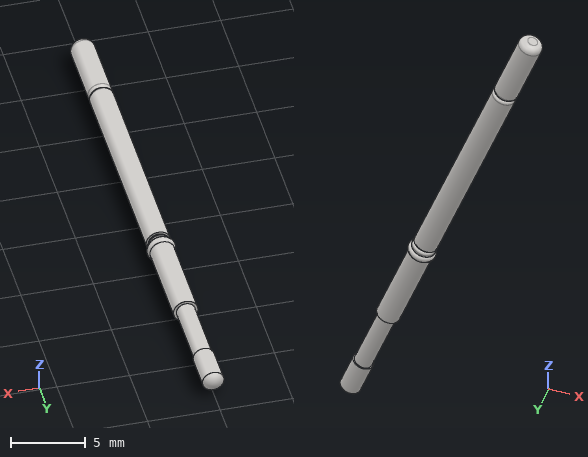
import cadquery as cq
import math

LENGTH = 37.0
TIP_Y = LENGTH / 2
TAIL_Y = -LENGTH / 2

HEAD_RADIUS = 0.75
HEAD_LENGTH = 3.0
DOME_HEIGHT = 0.38
STEM_RADIUS = 0.65
STEM_LENGTH = 5.0

BARREL_RADIUS = 0.85
BARREL_LENGTH = LENGTH - HEAD_LENGTH - STEM_LENGTH
MOUTH_Y = TAIL_Y + BARREL_LENGTH
TAIL_FILLET = 0.5

COLLAR_RADIUS = 1.0
COLLAR_WIDTH = 0.55
COLLAR_TOP_Y = MOUTH_Y - 6.5

ROLL_WIDTH = 0.25
CRIMP_DEPTH = 0.15
CRIMP_RADIUS = BARREL_RADIUS - CRIMP_DEPTH
COLLAR_TO_NECK = 0.13
NECK_FLOOR_WIDTH = 0.12
TAIL_CRIMP_Y = TAIL_Y + 5.5


def revolve_about_y(profile):
    """Full turn of a closed XY profile about the Y axis."""
    return profile.close().revolve(360, (0, 0, 0), (0, 1, 0))


def cylinder(radius, y_bottom, length):
    """Solid cylinder about the Y axis, running from y_bottom towards +Y."""
    return cq.Workplane("XZ", origin=(0, y_bottom, 0)).circle(radius).extrude(-length)


def make_plunger():
    head_bottom = TIP_Y - HEAD_LENGTH
    dome_base = TIP_Y - DOME_HEIGHT
    dome_radius = (HEAD_RADIUS**2 + DOME_HEIGHT**2) / (2 * DOME_HEIGHT)
    half_angle = math.asin(HEAD_RADIUS / dome_radius) / 2
    dome_middle = (
        dome_radius * math.sin(half_angle),
        TIP_Y - dome_radius * (1 - math.cos(half_angle)),
    )
    head = revolve_about_y(
        cq.Workplane("XY")
        .moveTo(0, head_bottom)
        .lineTo(HEAD_RADIUS, head_bottom)
        .lineTo(HEAD_RADIUS, dome_base)
        .threePointArc(dome_middle, (0, TIP_Y))
    )
    stem = cylinder(STEM_RADIUS, head_bottom - STEM_LENGTH, STEM_LENGTH)
    return head.union(stem)


def make_collar():
    """Ring whose outer face is a shallow arc in section."""
    middle_y = COLLAR_TOP_Y - COLLAR_WIDTH / 2
    return revolve_about_y(
        cq.Workplane("XY")
        .moveTo(0, COLLAR_TOP_Y - COLLAR_WIDTH)
        .lineTo(BARREL_RADIUS, COLLAR_TOP_Y - COLLAR_WIDTH)
        .threePointArc((COLLAR_RADIUS, middle_y), (BARREL_RADIUS, COLLAR_TOP_Y))
        .lineTo(0, COLLAR_TOP_Y)
    )


def make_roll_cutter(floor_y, direction):
    """Ring removed by one roll: from the barrel surface it curls down to the crimp floor at floor_y.

    The roll starts tangent to the barrel, ROLL_WIDTH away from floor_y towards direction (+1 or -1 in Y).
    """
    roll_radius = (ROLL_WIDTH**2 + CRIMP_DEPTH**2) / (2 * CRIMP_DEPTH)
    half_angle = math.asin(ROLL_WIDTH / roll_radius) / 2
    start_y = floor_y + direction * ROLL_WIDTH
    roll_middle = (
        BARREL_RADIUS - roll_radius * (1 - math.cos(half_angle)),
        start_y - direction * roll_radius * math.sin(half_angle),
    )
    return revolve_about_y(
        cq.Workplane("XY")
        .moveTo(BARREL_RADIUS, start_y)
        .threePointArc(roll_middle, (CRIMP_RADIUS, floor_y))
        .lineTo(BARREL_RADIUS, floor_y)
    )


def make_floor_cutter(y_top):
    """Square-sided ring that forms the flat floor of the neck."""
    y_bottom = y_top - NECK_FLOOR_WIDTH
    outer = cylinder(COLLAR_RADIUS, y_bottom, NECK_FLOOR_WIDTH)
    return outer.cut(cylinder(CRIMP_RADIUS, y_bottom, NECK_FLOOR_WIDTH))


def make_barrel():
    barrel = cylinder(BARREL_RADIUS, TAIL_Y, BARREL_LENGTH)
    barrel = barrel.faces("<Y").edges().fillet(TAIL_FILLET)
    barrel = barrel.union(make_collar())

    neck_floor_top = COLLAR_TOP_Y - COLLAR_WIDTH - COLLAR_TO_NECK - ROLL_WIDTH
    barrel = barrel.cut(make_roll_cutter(neck_floor_top, 1))
    barrel = barrel.cut(make_floor_cutter(neck_floor_top))

    for direction in (1, -1):
        barrel = barrel.cut(make_roll_cutter(TAIL_CRIMP_Y, direction))
    return barrel


result = make_barrel().union(make_plunger())